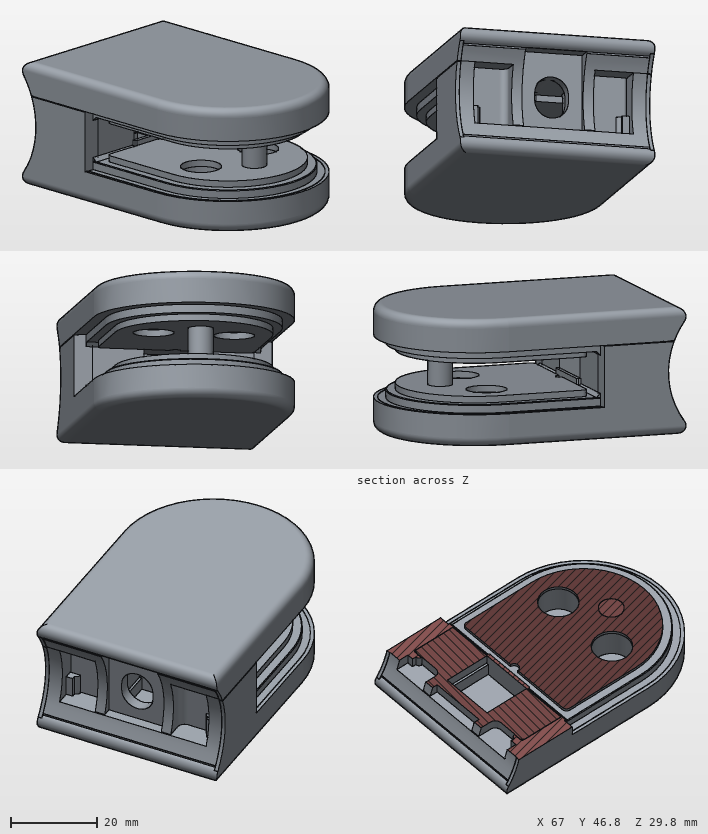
import cadquery as cq

LENGTH = 67.0
WIDTH = 46.8
HEIGHT = 29.8
HALF_WIDTH = WIDTH / 2
HALF_HEIGHT = HEIGHT / 2
ROUND_X = LENGTH - HALF_WIDTH
EDGE_FILLET = 2.0
RIM = 0.95

JAW_FACE = 7.3
SEAT_FACE = 5.4
PAD_FACE = 3.9
SEAM_GAP = 0.2

SADDLE_DEPTH = 4.3
SADDLE_RADIUS = 19.4
SADDLE_STEP = 0.15
RIM_NOSE_DEPTH = 0.55
RIM_SADDLE_TOP = 11.5
FIELD_NOSE_DEPTH = 1.2
FIELD_SADDLE_TOP = 10.65

SLOT_X = 20.1
SEAT_INSET = 2.8
SEAT_CHAMFER = 0.2
SEAT_CORNER = 0.95
FLOOR_RECESS = 0.15
PAD_INSET = 5.0
PAD_START_X = 22.4
PAD_CORNER_RADIUS = 1.2
PAD_NOTCH_DIAMETER = 2.5
LIP_THICKNESS = 0.95
LIP_HALF_WIDTH = 7.4
LIP_TOP = -3.3
LIP_CHAMFER = 0.35
BORE_DIAMETER = 9.5
BORE_X = 44.1
BORE_Y = 9.5
BORE_FLOOR = -12.05

BLOCK_HALF_WIDTH = 19.1
BLOCK_CORNER_RADIUS = 0.7
POCKET_BACK_X = 8.4
POCKET_INNER_Y = 9.85
POCKET_FILLET = 1.75
BAY_HALF_WIDTH = 7.4
BAY_BACK_X = 5.2
BAY_TOP = 11.1
BOLT_SLOT_WIDTH = 8.1
BOLT_SLOT_HEIGHT = 9.8
BOLT_SLOT_Z = 0.6
CHAMBER_FRONT_X = 8.1
CHAMBER_HALF_WIDTH = 7.0
WELL_HALF_WIDTH = 6.5
WELL_FLOOR = -10.5

POST_DEPTH = 2.0
POST_WIDTH = 1.7
POST_FLARE = 1.0
POST_TOP = -2.3

PIN_DIAMETER = 5.8
PIN_X = 52.05


def box(x_range, y_range, z_range):
    """Box given by its limits along each axis."""
    (x0, x1), (y0, y1), (z0, z1) = x_range, y_range, z_range
    return cq.Workplane("XY").box(x1 - x0, y1 - y0, z1 - z0, centered=False).translate((x0, y0, z0))


def symmetric_box(x_range, half_width, z_range):
    """Box centred on Y = 0."""
    return box(x_range, (-half_width, half_width), z_range)


def d_plate(start_x, inset, z_range):
    """Plate with a square end at start_x and a round end concentric with the clamp."""
    radius = HALF_WIDTH - inset
    z0, z1 = z_range
    outline = (
        cq.Workplane("XY")
        .workplane(offset=z0)
        .moveTo(start_x, -radius)
        .lineTo(ROUND_X, -radius)
        .threePointArc((ROUND_X + radius, 0), (ROUND_X, radius))
        .lineTo(start_x, radius)
        .close()
    )
    return outline.extrude(z1 - z0)


def y_cylinder(x, z, radius, half_width):
    """Cylinder along Y, centred on Y = 0."""
    return cq.Workplane("XZ").center(x, z).circle(radius).extrude(half_width, both=True)


def saddle_cutter(half_width, radius, nose_depth, saddle_top):
    """Concave saddle plus the underside of the rounded nose above and below it."""
    nose_z = HALF_HEIGHT - EDGE_FILLET
    noses = symmetric_box((-EDGE_FILLET, nose_depth), half_width, (-nose_z, nose_z))
    for z in (-nose_z, nose_z):
        noses = noses.cut(y_cylinder(EDGE_FILLET, z, EDGE_FILLET, half_width))
    saddle = y_cylinder(SADDLE_DEPTH - SADDLE_RADIUS, 0, radius, half_width)
    saddle = saddle.intersect(symmetric_box((-LENGTH, LENGTH), half_width, (-saddle_top, saddle_top)))
    return noses.union(saddle)


def cut_saddle(body):
    """Cut the rim first, then the slightly deeper field inside it."""
    rim = saddle_cutter(HALF_WIDTH, SADDLE_RADIUS, RIM_NOSE_DEPTH, RIM_SADDLE_TOP)
    field_radius = SADDLE_RADIUS + SADDLE_STEP
    field = saddle_cutter(HALF_WIDTH - RIM, field_radius, FIELD_NOSE_DEPTH, FIELD_SADDLE_TOP)
    return body.cut(rim).cut(field)


def seat_corner(side):
    """Sloping strip between the slot wall and the seat of the upper (+1) or lower (-1) jaw."""
    half_width = HALF_WIDTH - SEAT_INSET
    points = [
        (SLOT_X, side * SEAT_FACE),
        (SLOT_X + SEAT_CORNER, side * SEAT_FACE),
        (SLOT_X, side * (SEAT_FACE - SEAT_CORNER)),
    ]
    return cq.Workplane("XZ").polyline(points).close().extrude(half_width, both=True)


def pin_cylinder():
    """Space taken by the pin, which ends at the inner faces of the jaws."""
    base = cq.Workplane("XY").workplane(offset=-JAW_FACE).center(PIN_X, 0)
    return base.circle(PIN_DIAMETER / 2).extrude(2 * JAW_FACE)


def bores(z_range):
    """Pair of upright bores on either side of Y = 0."""
    z0, z1 = z_range
    base = cq.Workplane("XY").workplane(offset=z0).pushPoints([(BORE_X, -BORE_Y), (BORE_X, BORE_Y)])
    return base.circle(BORE_DIAMETER / 2).extrude(z1 - z0)


def make_post():
    """Corner post in the +Y pocket, flared where it meets the pocket's back wall."""
    front_x = POCKET_BACK_X - POST_DEPTH
    face_y = BLOCK_HALF_WIDTH - POST_WIDTH
    outline = (
        cq.Workplane("XY")
        .workplane(offset=-JAW_FACE)
        .moveTo(front_x, BLOCK_HALF_WIDTH)
        .lineTo(front_x, face_y)
        .lineTo(POCKET_BACK_X - POST_FLARE, face_y)
        .radiusArc((POCKET_BACK_X, face_y - POST_FLARE), -POST_FLARE)
        .lineTo(POCKET_BACK_X, BLOCK_HALF_WIDTH)
        .close()
    )
    return outline.extrude(POST_TOP + JAW_FACE)


def make_housing():
    """Lower jaw with two side walls, the pad seat, the lip and the corner posts."""
    housing = d_plate(0, 0, (-HALF_HEIGHT, -JAW_FACE))
    housing = housing.faces("<Z").edges().fillet(EDGE_FILLET)

    wall = box((0, SLOT_X), (BLOCK_HALF_WIDTH, HALF_WIDTH), (-JAW_FACE, JAW_FACE))
    seam = box((0, SLOT_X), (HALF_WIDTH - RIM, HALF_WIDTH), (JAW_FACE - SEAM_GAP, JAW_FACE))
    wall = wall.cut(seam)
    post = make_post()
    for part in (wall, post):
        housing = housing.union(part).union(part.mirror("XZ"))

    housing = housing.cut(d_plate(SLOT_X, RIM, (-JAW_FACE - FLOOR_RECESS, -JAW_FACE)))
    seat = d_plate(SLOT_X, SEAT_INSET, (-JAW_FACE - FLOOR_RECESS, -SEAT_FACE))
    seat = seat.faces(">Z").edges("not <X").chamfer(SEAT_CHAMFER)
    lip = symmetric_box((SLOT_X, SLOT_X + LIP_THICKNESS), LIP_HALF_WIDTH, (-SEAT_FACE, LIP_TOP))
    lip = lip.edges("|Z and >X").chamfer(LIP_CHAMFER)
    housing = housing.union(seat).union(lip).union(seat_corner(-1))
    well = symmetric_box((CHAMBER_FRONT_X, SLOT_X), WELL_HALF_WIDTH, (WELL_FLOOR, -JAW_FACE))
    housing = housing.cut(well).cut(bores((BORE_FLOOR, -SEAT_FACE)))
    return cut_saddle(housing).cut(pin_cylinder())


def pocket_cutter():
    """Pocket of the front block on the +Y side, open to the front and to the side wall."""
    z_range = (-JAW_FACE, JAW_FACE)
    pocket = box((-LENGTH, POCKET_BACK_X), (POCKET_INNER_Y, HALF_WIDTH), z_range)
    return pocket.edges("|Z and >X and <Y").fillet(POCKET_FILLET)


def bolt_slot_cutter():
    """Upright round-ended slot through the front block along X."""
    depth = SLOT_X - BAY_BACK_X
    base = cq.Workplane("YZ").workplane(offset=BAY_BACK_X).center(0, BOLT_SLOT_Z)
    return base.slot2D(BOLT_SLOT_HEIGHT, BOLT_SLOT_WIDTH, 90).extrude(depth)


def make_front_block():
    """Block below the cover that stands between the side walls of the housing."""
    z_range = (SEAM_GAP - JAW_FACE, JAW_FACE)
    block = symmetric_box((POCKET_BACK_X, SLOT_X), BLOCK_HALF_WIDTH, z_range)
    block = block.edges("|Z and <X").fillet(BLOCK_CORNER_RADIUS)
    block = block.union(symmetric_box((0, SLOT_X), POCKET_INNER_Y + POCKET_FILLET, z_range))
    pocket = pocket_cutter()
    return block.cut(pocket).cut(pocket.mirror("XZ"))


def make_cover():
    """Upper jaw with its pad seat and the front block."""
    cover = d_plate(0, 0, (JAW_FACE, HALF_HEIGHT))
    cover = cover.faces(">Z").edges().fillet(EDGE_FILLET)
    cover = cover.union(make_front_block())
    cover = cover.union(d_plate(SLOT_X, SEAT_INSET, (SEAT_FACE, JAW_FACE))).union(seat_corner(1))
    cover = cut_saddle(cover)
    cover = cover.cut(symmetric_box((FIELD_NOSE_DEPTH, BAY_BACK_X), BAY_HALF_WIDTH, (-JAW_FACE, BAY_TOP)))
    chamber_x = (CHAMBER_FRONT_X, SLOT_X + SEAT_CORNER)
    chamber = symmetric_box(chamber_x, CHAMBER_HALF_WIDTH, (-JAW_FACE, SEAT_FACE))
    return cover.cut(chamber).cut(bolt_slot_cutter()).cut(pin_cylinder())


def make_pad(side):
    """Pad on the seat of the upper (+1) or lower (-1) jaw."""
    pad = d_plate(PAD_START_X, PAD_INSET, (PAD_FACE, SEAT_FACE))
    pad = pad.edges("|Z and <X").fillet(PAD_CORNER_RADIUS)
    notch = cq.Workplane("XY").center(PAD_START_X, 0).circle(PAD_NOTCH_DIAMETER / 2).extrude(SEAT_FACE)
    pad = pad.cut(notch).cut(bores((PAD_FACE, SEAT_FACE))).cut(pin_cylinder())
    return pad if side > 0 else pad.mirror("XY")


housing = make_housing()
cover = make_cover()
pads = [make_pad(side) for side in (-1, 1)]
pin = pin_cylinder()

result = cq.Compound.makeCompound([housing.val(), cover.val(), *[pad.val() for pad in pads], pin.val()])